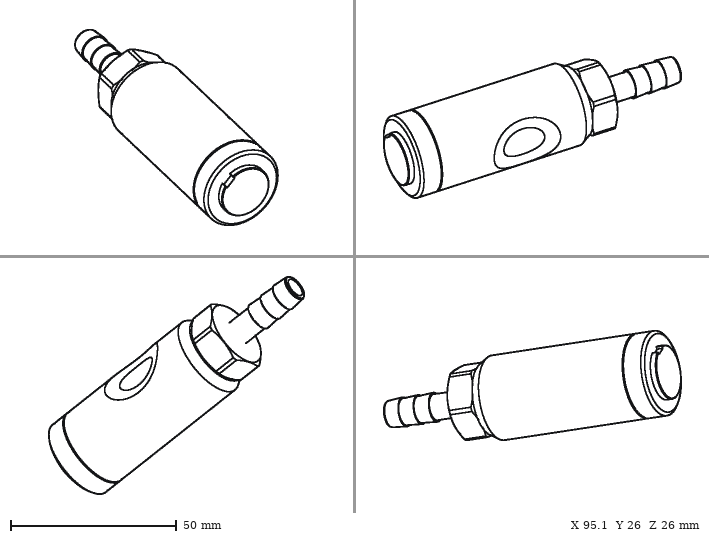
import cadquery as cq
import math


CHAMFER_SLOPE = math.tan(math.radians(30))

BORE_RADIUS = 6.0 / 2
TUBE_RADIUS = 8.0 / 2
BARB_COUNT = 3
BARB_PITCH = 5.2
BARB_ROOT_RADIUS = 4.12
BARB_CREST_RADIUS = 4.5
TIP_RADIUS = 3.9
TIP_CHAMFER_LENGTH = 0.4
TUBE_ROOT_FILLET = 0.5

NUT_START = 25.0
NUT_LENGTH = 8.9
NUT_ACROSS_FLATS = 21.0
NUT_CORNER_RADIUS = 11.75
NUT_FACE_RADIUS = 10.4

BODY_START = NUT_START + NUT_LENGTH
BODY_END = 93.1
BODY_RADIUS = 26.0 / 2
BODY_FRONT_RADIUS = 11.2
REAR_CHAMFER_LENGTH = 0.8
REAR_CHAMFER_DEPTH = 1.0

GROOVE_START = 86.0
GROOVE_WIDTH = 0.25
GROOVE_DEPTH = 0.3

SCALLOP_CENTRE_X = 57.1
SCALLOP_LENGTH = 22.6
SCALLOP_DEPTH = 3.2
CORE_RADIUS = 10.95

SPIGOT_END = 95.1
SPIGOT_RADIUS = 16.5 / 2
SPIGOT_CHAMFER = 0.25
NOTCH_WIDTH = 3.7
NOTCH_FLOOR_RADIUS = 7.25
NOTCH_ANGLE = 45.0


def cylinder(start, end, radius):
    """Cylinder about the X axis from start to end."""
    return cq.Workplane("YZ", origin=(start, 0, 0)).circle(radius).extrude(end - start)


def revolve_profile(points):
    """Revolve an outline of (x, radius) points about the X axis."""
    return cq.Workplane("XY").polyline(points).close().revolve(360, (0, 0, 0), (1, 0, 0))


def make_barb():
    """Barbed tube with a flared root on the nut."""
    points = [(0, 0), (0, TIP_RADIUS), (TIP_CHAMFER_LENGTH, BARB_ROOT_RADIUS)]
    for barb in range(1, BARB_COUNT + 1):
        shoulder = barb * BARB_PITCH
        next_radius = BARB_ROOT_RADIUS if barb < BARB_COUNT else TUBE_RADIUS
        points += [(shoulder, BARB_CREST_RADIUS), (shoulder, next_radius)]
    fillet_start = NUT_START - TUBE_ROOT_FILLET
    profile = (
        cq.Workplane("XY")
        .polyline(points)
        .lineTo(fillet_start, TUBE_RADIUS)
        .radiusArc((NUT_START, TUBE_RADIUS + TUBE_ROOT_FILLET), -TUBE_ROOT_FILLET)
        .lineTo(NUT_START, 0)
        .close()
    )
    return profile.revolve(360, (0, 0, 0), (1, 0, 0))


def make_nut():
    """Hexagon with two flats facing +Y and -Y, its corners turned and chamfered."""
    corner_distance = NUT_ACROSS_FLATS / math.cos(math.radians(30))
    hexagon = (
        cq.Workplane("YZ", origin=(NUT_START, 0, 0))
        .transformed(rotate=(0, 0, 90))
        .polygon(6, corner_distance)
        .extrude(NUT_LENGTH)
    )
    chamfer = (NUT_CORNER_RADIUS - NUT_FACE_RADIUS) * CHAMFER_SLOPE
    turned_blank = revolve_profile([
        (NUT_START, 0),
        (NUT_START, NUT_FACE_RADIUS),
        (NUT_START + chamfer, NUT_CORNER_RADIUS),
        (BODY_START - chamfer, NUT_CORNER_RADIUS),
        (BODY_START, NUT_FACE_RADIUS),
        (BODY_START, 0),
    ])
    return hexagon.intersect(turned_blank)


def make_body():
    """Sleeve with a front cone, a joint groove and a rear chamfer."""
    cone_length = (BODY_RADIUS - BODY_FRONT_RADIUS) / CHAMFER_SLOPE
    groove_floor = BODY_RADIUS - GROOVE_DEPTH
    groove_end = GROOVE_START + GROOVE_WIDTH
    return revolve_profile([
        (BODY_START, 0),
        (BODY_START, BODY_FRONT_RADIUS),
        (BODY_START + cone_length, BODY_RADIUS),
        (GROOVE_START, BODY_RADIUS),
        (GROOVE_START, groove_floor),
        (groove_end, groove_floor),
        (groove_end, BODY_RADIUS),
        (BODY_END - REAR_CHAMFER_LENGTH, BODY_RADIUS),
        (BODY_END, BODY_RADIUS - REAR_CHAMFER_DEPTH),
        (BODY_END, 0),
    ])


def make_scallop_cutter():
    """Round cutter along Z that leaves the cylindrical core under the sleeve."""
    half_length = SCALLOP_LENGTH / 2
    radius = (half_length**2 + SCALLOP_DEPTH**2) / (2 * SCALLOP_DEPTH)
    centre_y = BODY_RADIUS - SCALLOP_DEPTH + radius
    cutter = (
        cq.Workplane("XY")
        .center(SCALLOP_CENTRE_X, centre_y)
        .circle(radius)
        .extrude(BODY_RADIUS, both=True)
    )
    return cutter.cut(cylinder(BODY_START, BODY_END, CORE_RADIUS))


def make_spigot():
    """Rear spigot with one flat-bottomed notch between the -Y and +Z directions."""
    spigot = cylinder(BODY_END, SPIGOT_END, SPIGOT_RADIUS).faces(">X").chamfer(SPIGOT_CHAMFER)
    length = SPIGOT_END - BODY_END
    notch = (
        cq.Workplane("XY")
        .box(length, NOTCH_WIDTH, SPIGOT_RADIUS, centered=(False, True, False))
        .translate((BODY_END, 0, NOTCH_FLOOR_RADIUS))
        .rotate((0, 0, 0), (1, 0, 0), NOTCH_ANGLE)
    )
    return spigot.cut(notch)


body = make_body().cut(make_scallop_cutter())
coupling = body.union(make_nut()).union(make_barb()).union(make_spigot())
result = coupling.cut(cylinder(0, BODY_START, BORE_RADIUS))